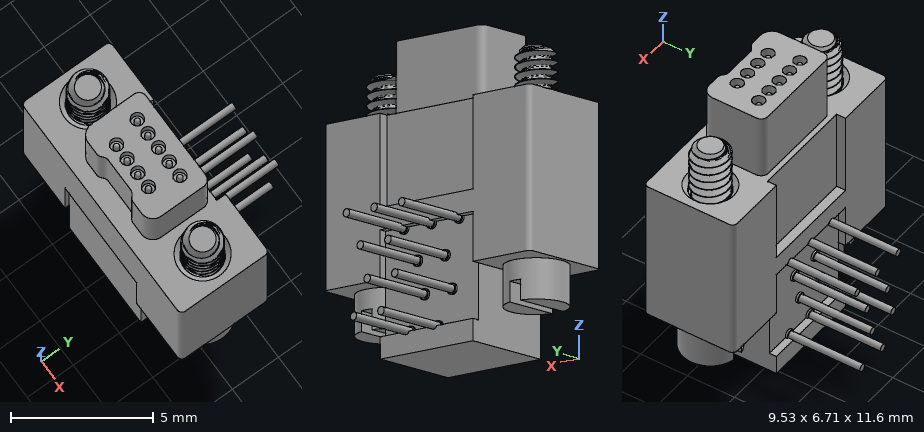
import cadquery as cq
import math


BLOCK_WIDTH = 9.53
BLOCK_DEPTH = 3.86
BLOCK_BOTTOM = 2.87
BLOCK_TOP = 8.89
BLOCK_CORNER_RADIUS = 0.21
BLOCK_BACK = BLOCK_DEPTH / 2

INSERT_WIDTH = 4.28
INSERT_HEIGHT = 5.48
INSERT_FRONT_SETBACK = 0.19
INSERT_BACK_SETBACK = 0.3
INSERT_LIP = 0.81
BACK_SLOT_DEPTH = 0.38

PLUG_TOP = 11.57
PLUG_WIDTH = 4.17
PLUG_BACK = 1.33
PLUG_FRONT = -1.32
PLUG_BACK_RADIUS = 0.3
PLUG_FRONT_RADIUS = 0.5
KEYWAY_OUTER_WIDTH = 1.99
KEYWAY_INNER_WIDTH = 1.52
KEYWAY_DEPTH = 0.2
KEYWAY_FILLET = 0.27
SELECTION_MARGIN = 0.12

CONTACT_PITCH = 0.64
CONTACT_ROWS = ((5, 0.58), (4, -0.55))
SOCKET_RADIUS = 0.5 / 2
SOCKET_DEPTH = 0.46
CONTACT_RADIUS = 0.12
CONTACT_TIP_DEPTH = 0.14

PIN_COUNT = 9
PIN_PITCH = CONTACT_PITCH / 2
PIN_RADIUS = 0.15
PIN_REACH = 2.85
PIN_ROW_PITCH = 1.26
PIN_ROW_ORDER = (3, 1, 2, 0)
COLLAR_RADIUS = 0.4 / 2
COLLAR_LENGTH = 0.08

SCREW_X = 3.42
SCREW_TOP = 10.75
SCREW_RADIUS = 1.54 / 2
SCREW_TIP_RADIUS = 0.47
SCREW_HEAD_RADIUS = 1.18
SCREW_HEAD_HEIGHT = 1.49
DRIVE_SLOT_WIDTH = 0.49
DRIVE_SLOT_DEPTH = 0.75
THREAD_PITCH = 0.35
THREAD_DEPTH = 0.23
THREAD_START = 8.61
THREAD_CREST = 0.02
THREAD_ROOT = 0.05
FLANK_STEPS = 8
BEVEL_OVERCUT = 0.12
SHANK_RADIUS = 0.78

HOLE_RADIUS = 0.8
COUNTERSINK_RADIUS = 2.0 / 2
COUNTERSINK_DEPTH = COUNTERSINK_RADIUS - HOLE_RADIUS


def box_between(x_size, y_min, y_max, z_min, z_max):
    """Box centred on X = 0 between the given Y and Z limits."""
    box = cq.Workplane("XY").box(x_size, y_max - y_min, z_max - z_min, centered=(True, False, False))
    return box.translate((0, y_min, z_min))


def make_block():
    """Rounded block with the channels that the insert sits in."""
    block = box_between(BLOCK_WIDTH, -BLOCK_BACK, BLOCK_BACK, BLOCK_BOTTOM, BLOCK_TOP)
    block = block.edges("|Z").fillet(BLOCK_CORNER_RADIUS)
    channel = box_between(INSERT_WIDTH, -BLOCK_BACK, BLOCK_BACK, BLOCK_BOTTOM, INSERT_HEIGHT)
    back_slot = box_between(INSERT_WIDTH, BLOCK_BACK - BACK_SLOT_DEPTH, BLOCK_BACK, INSERT_HEIGHT, BLOCK_TOP)
    return block.cut(channel).cut(back_slot)


def make_insert():
    """C-shaped insert whose two lips reach the back of the block."""
    body = box_between(INSERT_WIDTH, INSERT_FRONT_SETBACK - BLOCK_BACK, BLOCK_BACK, 0, INSERT_HEIGHT)
    recess = box_between(
        INSERT_WIDTH, BLOCK_BACK - INSERT_BACK_SETBACK, BLOCK_BACK, INSERT_LIP, INSERT_HEIGHT - INSERT_LIP
    )
    return body.cut(recess)


def make_plug():
    """Plug with a polarising keyway along its front."""
    keyway_floor = PLUG_FRONT + KEYWAY_DEPTH
    keyway_half = KEYWAY_OUTER_WIDTH / 2
    plug = box_between(PLUG_WIDTH, PLUG_FRONT, PLUG_BACK, BLOCK_TOP, PLUG_TOP)
    plug = plug.edges("|Z and >Y").fillet(PLUG_BACK_RADIUS)
    plug = plug.edges("|Z and <Y").fillet(PLUG_FRONT_RADIUS)
    keyway = (
        cq.Workplane("XY", origin=(0, 0, BLOCK_TOP))
        .polyline(
            [
                (-keyway_half, PLUG_FRONT),
                (-KEYWAY_INNER_WIDTH / 2, keyway_floor),
                (KEYWAY_INNER_WIDTH / 2, keyway_floor),
                (keyway_half, PLUG_FRONT),
            ]
        )
        .close()
        .extrude(PLUG_TOP - BLOCK_TOP)
    )
    keyway_edges = cq.selectors.BoxSelector(
        (-keyway_half - SELECTION_MARGIN, PLUG_FRONT - SELECTION_MARGIN, BLOCK_TOP),
        (keyway_half + SELECTION_MARGIN, keyway_floor + SELECTION_MARGIN, PLUG_TOP),
    )
    return plug.cut(keyway).edges("|Z").edges(keyway_edges).fillet(KEYWAY_FILLET)


def contact_places():
    """X and Y of every contact in the plug."""
    return [
        ((place - (count - 1) / 2) * CONTACT_PITCH, row_y)
        for count, row_y in CONTACT_ROWS
        for place in range(count)
    ]


def make_sockets():
    """Holes in the mating face."""
    floor = PLUG_TOP - SOCKET_DEPTH
    return (
        cq.Workplane("XY", origin=(0, 0, floor))
        .pushPoints(contact_places())
        .circle(SOCKET_RADIUS)
        .extrude(SOCKET_DEPTH)
    )


def make_contacts():
    """Round-nosed contacts that stand on the socket floors."""
    floor = PLUG_TOP - SOCKET_DEPTH
    contacts = (
        cq.Workplane("XY", origin=(0, 0, floor))
        .pushPoints(contact_places())
        .circle(CONTACT_RADIUS)
        .extrude(SOCKET_DEPTH - CONTACT_TIP_DEPTH - CONTACT_RADIUS)
    )
    noses = (
        cq.Workplane("XY", origin=(0, 0, PLUG_TOP - CONTACT_TIP_DEPTH - CONTACT_RADIUS))
        .pushPoints(contact_places())
        .sphere(CONTACT_RADIUS)
    )
    return contacts.union(noses)


def make_board_pins():
    """Collared pins out of the back of the insert, staggered over four rows."""
    face_y = BLOCK_BACK - INSERT_BACK_SETBACK
    bottom_row_z = INSERT_HEIGHT / 2 - PIN_ROW_PITCH * (len(PIN_ROW_ORDER) - 1) / 2
    places = [
        (
            (place - (PIN_COUNT - 1) / 2) * PIN_PITCH,
            bottom_row_z + PIN_ROW_ORDER[place % len(PIN_ROW_ORDER)] * PIN_ROW_PITCH,
        )
        for place in range(PIN_COUNT)
    ]
    face = cq.Workplane("XZ", origin=(0, face_y, 0)).pushPoints(places)
    pins = face.circle(PIN_RADIUS).extrude(-(INSERT_BACK_SETBACK + PIN_REACH))
    collars = face.circle(COLLAR_RADIUS).extrude(-COLLAR_LENGTH)
    return pins.union(collars)


def make_screw_holes():
    """Countersunk clearance holes through the block."""
    hole = (
        cq.Workplane("XZ")
        .polyline(
            [
                (0, BLOCK_BOTTOM),
                (HOLE_RADIUS, BLOCK_BOTTOM),
                (HOLE_RADIUS, BLOCK_TOP - COUNTERSINK_DEPTH),
                (COUNTERSINK_RADIUS, BLOCK_TOP),
                (0, BLOCK_TOP),
            ]
        )
        .close()
        .revolve(360, (0, 0, 0), (0, 1, 0))
    )
    return hole.translate((-SCREW_X, 0, 0)).union(hole.translate((SCREW_X, 0, 0)))


def make_housing():
    housing = make_block().union(make_insert()).union(make_plug())
    housing = housing.cut(make_sockets()).cut(make_screw_holes())
    return housing.union(make_contacts()).union(make_board_pins())


def make_thread():
    """Right-hand threaded rod, made by twisting its cross-section along the axis."""
    root_radius = SCREW_RADIUS - THREAD_DEPTH
    crest_angle = math.pi * THREAD_CREST / THREAD_PITCH
    root_angle = math.pi * (1 - THREAD_ROOT / THREAD_PITCH)

    def outline_point(radius, angle):
        return (radius * math.cos(angle), radius * math.sin(angle))

    def flank(side):
        """Spiral from the crest to the root on one side (+1 or -1) of the X axis."""

        def point(step):
            return outline_point(
                SCREW_RADIUS - THREAD_DEPTH * step,
                side * (crest_angle + (root_angle - crest_angle) * step),
            )

        return [point(index / FLANK_STEPS) for index in range(FLANK_STEPS + 1)]

    upper_flank = flank(1)
    lower_flank = flank(-1)
    length = SCREW_TOP - THREAD_START
    return (
        cq.Workplane("XY", origin=(0, 0, THREAD_START))
        .moveTo(*upper_flank[0])
        .spline(upper_flank[1:], includeCurrent=True)
        .threePointArc((-root_radius, 0), lower_flank[-1])
        .spline(lower_flank[-2::-1], includeCurrent=True)
        .threePointArc((SCREW_RADIUS, 0), upper_flank[0])
        .close()
        .twistExtrude(length, 360 * length / THREAD_PITCH)
    )


def make_tip_chamfer():
    """Ring whose conical inside bevels the tip of the screw."""
    outer_radius = SCREW_RADIUS + BEVEL_OVERCUT
    return (
        cq.Workplane("XZ")
        .polyline(
            [
                (SCREW_TIP_RADIUS, SCREW_TOP),
                (outer_radius, SCREW_TOP),
                (outer_radius, SCREW_TOP - (outer_radius - SCREW_TIP_RADIUS)),
            ]
        )
        .close()
        .revolve(360, (0, 0, 0), (0, 1, 0))
    )


def make_screw():
    """Jackscrew with a slotted head under the block, a plain shank and a bevelled, threaded end."""
    head_bottom = BLOCK_BOTTOM - SCREW_HEAD_HEIGHT
    head = cq.Workplane("XY", origin=(0, 0, head_bottom)).circle(SCREW_HEAD_RADIUS).extrude(SCREW_HEAD_HEIGHT)
    drive_slot = box_between(
        DRIVE_SLOT_WIDTH, -SCREW_HEAD_RADIUS, SCREW_HEAD_RADIUS, head_bottom, head_bottom + DRIVE_SLOT_DEPTH
    )
    shank_length = THREAD_START - BLOCK_BOTTOM
    shank = cq.Workplane("XY", origin=(0, 0, BLOCK_BOTTOM)).circle(SHANK_RADIUS).extrude(shank_length)
    return head.cut(drive_slot).union(shank).union(make_thread().cut(make_tip_chamfer()))


housing = make_housing()
screw = make_screw()
screws = [screw.translate((x, 0, 0)) for x in (-SCREW_X, SCREW_X)]

result = cq.Compound.makeCompound([housing.val(), *(copy.val() for copy in screws)])